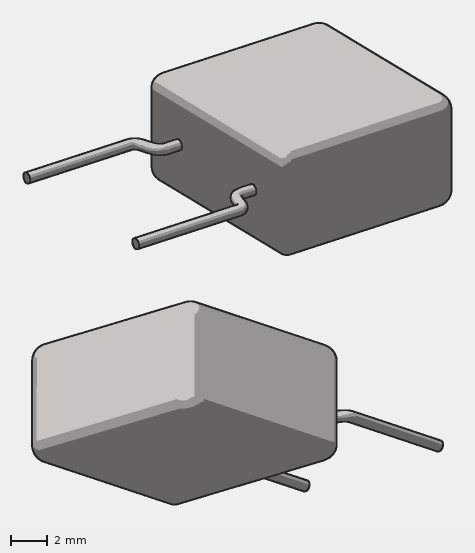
import cadquery as cq

case_width = 12.7
case_depth = 12.0
case_height = 6.86
edge_radius = 1.0
front_upright_radius = 0.5

lead_diameter = 0.65
lead_reach = 9.22
exit_pitch = 6.94
tip_pitch = 10.16
joggle_start = 0.76
joggle_end = 2.21
upper_handle = 1.1
lower_handle = 0.9


def make_case():
    """Rounded block with its front face on Y = 0, centred on X and Z."""
    block = cq.Workplane("XY").box(case_width, case_depth, case_height)
    block = block.translate((0, case_depth / 2, 0))
    block = block.edges("not(|Z and <Y)").fillet(edge_radius)
    return block.edges("|Z and <Y and (<X or >X)").fillet(front_upright_radius)


def make_lead(side):
    """Round wire butting on the front face, joggled outwards; side is -1 or +1."""
    exit_x = side * exit_pitch / 2
    tip_x = side * tip_pitch / 2
    joggle = [
        (exit_x, -joggle_start),
        (exit_x, -joggle_start - upper_handle),
        (tip_x, -joggle_end + lower_handle),
        (tip_x, -joggle_end),
    ]
    path = (
        cq.Workplane("XY")
        .moveTo(exit_x, 0)
        .lineTo(exit_x, -joggle_start)
        .bezier(joggle)
        .lineTo(tip_x, -lead_reach)
    )
    return (
        cq.Workplane("XZ", origin=(exit_x, 0, 0))
        .circle(lead_diameter / 2)
        .sweep(path)
    )


case = make_case()
leads = [make_lead(side) for side in (-1, 1)]

result = cq.Compound.makeCompound([case.val()] + [lead.val() for lead in leads])